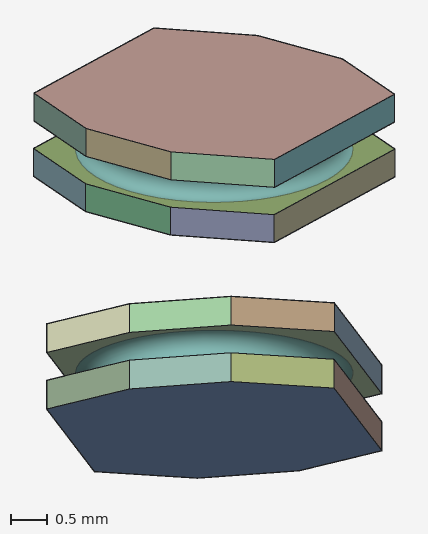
import cadquery as cq

width = 4.0
lower_depth = 4.02
upper_depth = 4.0
height = 1.22

flange_thickness = 0.41
waist_diameter = 3.36

corner_cut_x = 1.295
corner_cut_y = 0.6

groove_height = height - 2 * flange_thickness
groove_radius = groove_height / 2
core_radius = waist_diameter / 2 + groove_radius
groove_top = height - flange_thickness


def make_flange(depth, bottom):
    """Flat rectangular plate with four unequally chamfered corners."""
    half_x = width / 2
    half_y = depth / 2
    flat_x = half_x - corner_cut_x
    flat_y = half_y - corner_cut_y
    outline = [
        (flat_x, -half_y),
        (half_x, -flat_y),
        (half_x, flat_y),
        (flat_x, half_y),
        (-flat_x, half_y),
        (-half_x, flat_y),
        (-half_x, -flat_y),
        (-flat_x, -half_y),
    ]
    return cq.Workplane("XY").workplane(offset=bottom).polyline(outline).close().extrude(flange_thickness)


def make_core():
    """Round core between the flanges, hollowed by the half-round winding groove."""
    profile = (
        cq.Workplane("XZ")
        .moveTo(0, flange_thickness)
        .lineTo(core_radius, flange_thickness)
        .threePointArc((waist_diameter / 2, height / 2), (core_radius, groove_top))
        .lineTo(0, groove_top)
        .close()
    )
    return profile.revolve(360, (0, 0, 0), (0, 1, 0))


lower_flange = make_flange(lower_depth, 0)
upper_flange = make_flange(upper_depth, groove_top)
result = lower_flange.union(make_core()).union(upper_flange)